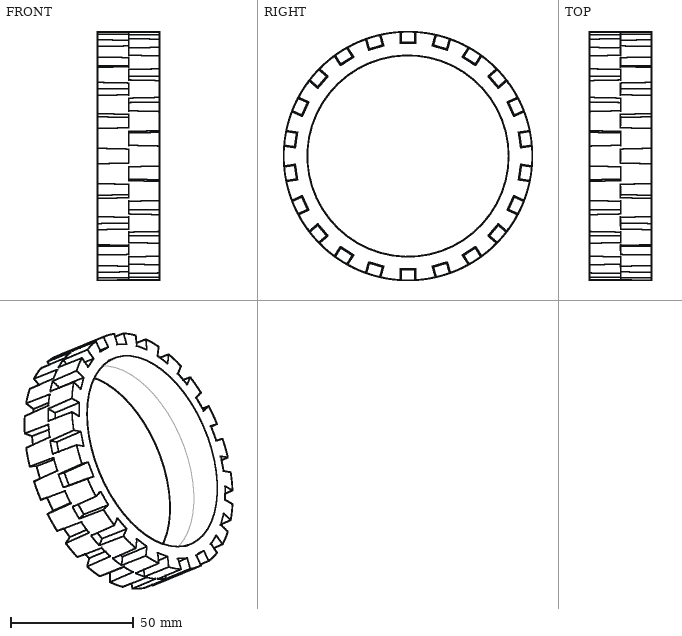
import cadquery as cq

OUTER_DIAMETER = 101.6
BORE_DIAMETER = 82.12
RING_WIDTH = 25.4
SLOT_COUNT = 22
SLOT_WIDTH = 6.35
SLOT_DEPTH = 4.7625
SLOT_DRAFT = 1.5
CUTTER_OVERSHOOT = 2.0

outer_radius = OUTER_DIAMETER / 2
row_width = RING_WIDTH / 2
slot_pitch = 360 / SLOT_COUNT


def half_ring(direction):
    """Half of the plain ring, from the mid-plane to the end face on the given side of X."""
    return (
        cq.Workplane("YZ")
        .circle(outer_radius)
        .circle(BORE_DIAMETER / 2)
        .extrude(direction * row_width)
    )


def slot_cutter(direction):
    """Drafted cutter for the slot at +Y, from the end face to the mid-plane."""
    height = SLOT_DEPTH + CUTTER_OVERSHOOT
    centre_radius = outer_radius - SLOT_DEPTH + height / 2
    return (
        cq.Workplane("YZ", origin=(direction * row_width, 0, 0))
        .center(centre_radius, 0)
        .rect(height, SLOT_WIDTH)
        .extrude(-direction * row_width, taper=SLOT_DRAFT)
    )


def slotted_half(direction, start_angle):
    """Half ring with one row of slots, the first at start_angle from +Y."""
    half = half_ring(direction)
    cutter = slot_cutter(direction)
    for index in range(SLOT_COUNT):
        angle = start_angle + index * slot_pitch
        half = half.cut(cutter.rotate((0, 0, 0), (1, 0, 0), angle))
    return half


left_half = slotted_half(-1, 0)
right_half = slotted_half(1, slot_pitch / 2)
result = left_half.union(right_half).solids()